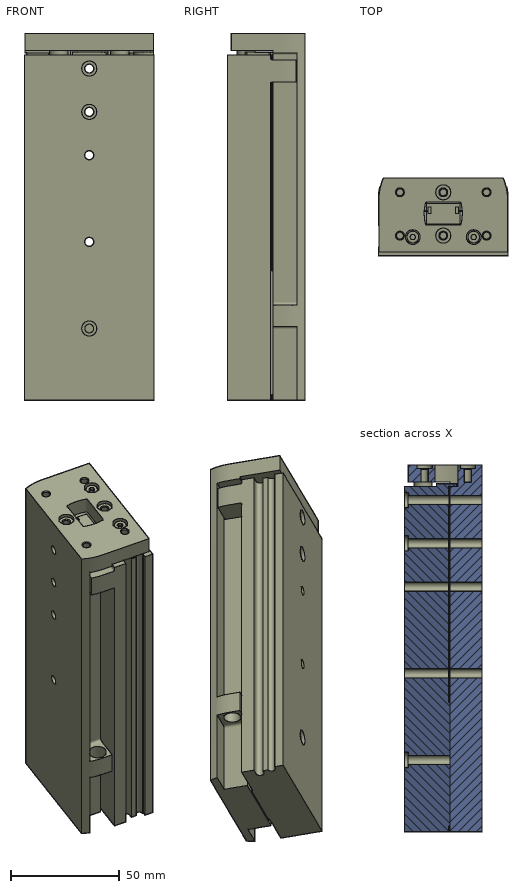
import cadquery as cq
import math

LENGTH = 169.5
WIDTH = 60.0
DEPTH = 36.0
HALF_WIDTH = WIDTH / 2

TABLE_HALF_WIDTH = 29.7
SIDE_ARC_START_Y = 26.3
SIDE_ARC_RADIUS = 24.5
PLATE_FRONT_Y = 32.2
SPINE_HALF_WIDTH = 18.3
SPINE_FRONT_Y = 21.0
FLANGE_FRONT_Y = 1.7
FLANGE_BOTTOM_Z = 161.5
FLANGE_STEP_BOTTOM_Z = 160.5
EAR_BOTTOM_Z = 34.0
EAR_TOP_Z = 44.0
EAR_FILLET = 1.2
EAR_HOLE_DIAMETER = 8.0
EAR_HOLE_X = 25.0
EAR_HOLE_Y = 26.1

HOUSING_TOP_Z = 159.5
HOUSING_BACK_Y = 20.0
ARM_BOTTOM_Z = 147.0
ARM_TOP_Z = 157.3
ARM_BACK_Y = 31.7
ARM_CLEARANCE = 0.2
ARM_FILLET = 0.8
LAND_INSET = 1.7
DEEP_GROOVE_Y = 12.2
DEEP_GROOVE_WIDTH = 3.7
DEEP_GROOVE_STRAIGHT = 3.4
FRONT_PLATE_DEPTH = 4.0
SHALLOW_GROOVE_Y = 6.1
SHALLOW_GROOVE_DIAMETER = 3.2
GUIDE_RAIL_HALF_WIDTH = 13.5
GUIDE_RAIL_HEIGHT = 0.5
CARRIAGE_BOTTOM_Z = 2.5
CARRIAGE_TOP_Z = 59.8
BUTTON_DIAMETER = 12.0
BUTTON_X = 26.5
BUTTON_Y = 14.2
PAD_TOP_Z = 160.9

WINDOW_Y = 19.5
WINDOW_HEIGHT = 10.5
WINDOW_CORNER_X = 8.1
WINDOW_BULGE_X = 8.8
WINDOW_CORNER_RADIUS = 0.7
PAD_WIDTH = 15.3
PAD_HEIGHT = 9.5
PAD_NOTCH_X = 6.3
PAD_NOTCH_Y = 21.0
PAD_NOTCH_WIDTH = 1.4
PAD_NOTCH_HEIGHT = 3.0
PAD_NOTCH_DEPTH = 0.7

PITCH = 20.0
HOLE_DIAMETER = 4.0
COUNTERBORE_DIAMETER = 7.0
COUNTERBORE_DEPTH = 1.7
TOP_HOLE_FRONT_Y = 9.3
TOP_HOLE_BACK_Y = TOP_HOLE_FRONT_Y + PITCH
TAPPED_HOLE_DIAMETER = 3.2
HIGHEST_FRONT_HOLE_Z = 153.2

BUMPER_X = 14.0
BUMPER_Y = 8.6
BUMPER_DIAMETER = 8.5
BUMPER_RECESS_DIAMETER = 6.8
BUMPER_RECESS_DEPTH = 2.5
SCREW_HEAD_DIAMETER = 5.5
SCREW_HEAD_DROP = 1.0
SOCKET_WIDTH = 2.7
SOCKET_DEPTH = 1.5

SIDES = (-1, 1)


def box(x_min, x_max, y_min, y_max, z_min, z_max):
    """Axis-aligned block between the given limits."""
    size = (x_max - x_min, y_max - y_min, z_max - z_min)
    return cq.Workplane("XY").box(*size, centered=False).translate((x_min, y_min, z_min))


def centred_box(half_width, y_min, y_max, z_min, z_max):
    """Block symmetric about X = 0."""
    return box(-half_width, half_width, y_min, y_max, z_min, z_max)


def upright_cylinder(diameter, x, y, z_min, z_max):
    """Cylinder with a vertical axis."""
    base = cq.Workplane("XY", origin=(x, y, z_min))
    return base.circle(diameter / 2).extrude(z_max - z_min)


def arc_inset(y):
    """How far the rounded side has moved inward at depth y."""
    rise = y - SIDE_ARC_START_Y
    return SIDE_ARC_RADIUS - math.sqrt(SIDE_ARC_RADIUS**2 - rise**2)


def round_sided(half_width, y_front, y_back, z_min, z_max):
    """Block whose sides curve inward toward the back, from SIDE_ARC_START_Y on."""
    y_mid = (SIDE_ARC_START_Y + y_back) / 2
    x_mid = half_width - arc_inset(y_mid)
    x_back = half_width - arc_inset(y_back)
    return (
        cq.Workplane("XY", origin=(0, 0, z_min))
        .moveTo(-half_width, y_front)
        .lineTo(half_width, y_front)
        .lineTo(half_width, SIDE_ARC_START_Y)
        .threePointArc((x_mid, y_mid), (x_back, y_back))
        .lineTo(-x_back, y_back)
        .threePointArc((-x_mid, y_mid), (-half_width, SIDE_ARC_START_Y))
        .close()
        .extrude(z_max - z_min)
    )


def tapped_hole(x, y, mouth_z):
    """Cutter for a vertical hole down to the flange underside, with a 45 degree chamfer at its mouth."""
    bore = upright_cylinder(TAPPED_HOLE_DIAMETER, x, y, FLANGE_BOTTOM_Z, mouth_z)
    chamfer_depth = (HOLE_DIAMETER - TAPPED_HOLE_DIAMETER) / 2
    mouth = (
        cq.Workplane("XY", origin=(x, y, mouth_z))
        .circle(HOLE_DIAMETER / 2)
        .workplane(offset=-chamfer_depth)
        .circle(TAPPED_HOLE_DIAMETER / 2)
        .loft()
    )
    return bore.union(mouth)


def front_hole(diameter, z, y_start, y_end):
    """Cylindrical cutter along Y on the centre line."""
    base = cq.Workplane("XZ", origin=(0, y_start, z))
    return base.circle(diameter / 2).extrude(y_start - y_end)


def side_pocket(side, z_min, z_max, filleted_edges):
    """Cutter for the open space beside the spine, rounded where it meets the ears or flange."""
    inner = side * SPINE_HALF_WIDTH
    outer = side * WIDTH
    pocket = box(min(inner, outer), max(inner, outer), 0, PLATE_FRONT_Y, z_min, z_max)
    toward_spine = "<X" if side > 0 else ">X"
    return pocket.faces(toward_spine).edges(filleted_edges).fillet(EAR_FILLET)


def rod_window():
    """Cutter for the flange window, a rectangle with bowed short sides."""
    y_low = WINDOW_Y - WINDOW_HEIGHT / 2
    y_high = WINDOW_Y + WINDOW_HEIGHT / 2
    return (
        cq.Workplane("XY", origin=(0, 0, HOUSING_TOP_Z))
        .moveTo(-WINDOW_CORNER_X, y_low)
        .lineTo(WINDOW_CORNER_X, y_low)
        .threePointArc((WINDOW_BULGE_X, WINDOW_Y), (WINDOW_CORNER_X, y_high))
        .lineTo(-WINDOW_CORNER_X, y_high)
        .threePointArc((-WINDOW_BULGE_X, WINDOW_Y), (-WINDOW_CORNER_X, y_low))
        .close()
        .extrude(LENGTH - HOUSING_TOP_Z)
        .edges("|Z")
        .fillet(WINDOW_CORNER_RADIUS)
    )


def add_bumper(table, x):
    """Bumper under the flange, with its screw head sunk into the flange top."""
    recess_floor = LENGTH - BUMPER_RECESS_DEPTH
    head_top = LENGTH - SCREW_HEAD_DROP
    bumper = upright_cylinder(BUMPER_DIAMETER, x, BUMPER_Y, HOUSING_TOP_Z, FLANGE_BOTTOM_Z)
    recess = upright_cylinder(BUMPER_RECESS_DIAMETER, x, BUMPER_Y, recess_floor, LENGTH)
    head = upright_cylinder(SCREW_HEAD_DIAMETER, x, BUMPER_Y, recess_floor, head_top)
    socket = (
        cq.Workplane("XY", origin=(x, BUMPER_Y, head_top - SOCKET_DEPTH))
        .polygon(6, SOCKET_WIDTH)
        .extrude(SOCKET_DEPTH)
    )
    return table.union(bumper).cut(recess).union(head).cut(socket)


def make_table():
    table = round_sided(TABLE_HALF_WIDTH, FLANGE_FRONT_Y, DEPTH, 0, LENGTH)
    table = table.cut(centred_box(WIDTH, 0, SPINE_FRONT_Y, 0, FLANGE_BOTTOM_Z))

    for side in SIDES:
        table = table.cut(side_pocket(side, 0, EAR_BOTTOM_Z, ">Z"))
        table = table.cut(side_pocket(side, EAR_TOP_Z, FLANGE_STEP_BOTTOM_Z, "|Y"))
        ear_hole_x = side * EAR_HOLE_X
        table = table.cut(
            upright_cylinder(EAR_HOLE_DIAMETER, ear_hole_x, EAR_HOLE_Y, EAR_BOTTOM_Z, EAR_TOP_Z)
        )

    table = table.cut(rod_window())
    counterbore_floor = LENGTH - COUNTERBORE_DEPTH
    for y in (TOP_HOLE_FRONT_Y, TOP_HOLE_BACK_Y):
        for side in SIDES:
            table = table.cut(tapped_hole(side * PITCH, y, LENGTH))
        table = table.cut(tapped_hole(0, y, counterbore_floor))
        table = table.cut(upright_cylinder(COUNTERBORE_DIAMETER, 0, y, counterbore_floor, LENGTH))

    for side in SIDES:
        table = add_bumper(table, side * BUMPER_X)

    for steps_down in (0, 1, 2, 4):
        z = HIGHEST_FRONT_HOLE_Z - steps_down * PITCH
        table = table.cut(front_hole(HOLE_DIAMETER, z, SPINE_FRONT_Y, DEPTH))
    return table


def side_grooves():
    """Cutter for the full-height grooves along the -X side."""
    land_x = -HALF_WIDTH + LAND_INSET
    deep_front_y = DEEP_GROOVE_Y - DEEP_GROOVE_WIDTH / 2
    deep_back_y = DEEP_GROOVE_Y + DEEP_GROOVE_WIDTH / 2
    relief = box(-HALF_WIDTH, land_x, FRONT_PLATE_DEPTH, deep_back_y, 0, HOUSING_TOP_Z)
    deep_end_x = -HALF_WIDTH + DEEP_GROOVE_STRAIGHT
    deep_slot = box(-HALF_WIDTH, deep_end_x, deep_front_y, deep_back_y, 0, HOUSING_TOP_Z)
    deep_end = upright_cylinder(DEEP_GROOVE_WIDTH, deep_end_x, DEEP_GROOVE_Y, 0, HOUSING_TOP_Z)
    shallow = upright_cylinder(SHALLOW_GROOVE_DIAMETER, land_x, SHALLOW_GROOVE_Y, 0, HOUSING_TOP_Z)
    return relief.union(deep_slot).union(deep_end).union(shallow)


def coupling_pad():
    """Rectangular pad on the housing top, notched on both short sides."""
    half_height = PAD_HEIGHT / 2
    y_min = WINDOW_Y - half_height
    y_max = WINDOW_Y + half_height
    pad = centred_box(PAD_WIDTH / 2, y_min, y_max, HOUSING_TOP_Z, PAD_TOP_Z)
    for side in SIDES:
        notch = cq.Workplane("XY").box(PAD_NOTCH_WIDTH, PAD_NOTCH_HEIGHT, 2 * PAD_NOTCH_DEPTH)
        pad = pad.cut(notch.translate((side * PAD_NOTCH_X, PAD_NOTCH_Y, PAD_TOP_Z)))
    return pad


def make_housing():
    housing = centred_box(HALF_WIDTH, 0, HOUSING_BACK_Y, 0, HOUSING_TOP_Z)
    housing = housing.cut(side_grooves())

    arms = round_sided(HALF_WIDTH, HOUSING_BACK_Y, ARM_BACK_Y, ARM_BOTTOM_Z, ARM_TOP_Z)
    spine_gap = SPINE_HALF_WIDTH + ARM_CLEARANCE
    arms = arms.cut(centred_box(spine_gap, HOUSING_BACK_Y, DEPTH, ARM_BOTTOM_Z, ARM_TOP_Z))
    housing = housing.union(arms)
    for z in (ARM_BOTTOM_Z, ARM_TOP_Z):
        root = cq.selectors.BoxSelector(
            (-WIDTH, HOUSING_BACK_Y - ARM_FILLET, z - ARM_FILLET),
            (WIDTH, HOUSING_BACK_Y + ARM_FILLET, z + ARM_FILLET),
            boundingbox=True,
        )
        housing = housing.edges(root).edges("|X").fillet(ARM_FILLET)

    rail_y = HOUSING_BACK_Y + GUIDE_RAIL_HEIGHT
    rail = centred_box(GUIDE_RAIL_HALF_WIDTH, HOUSING_BACK_Y, rail_y, 0, HOUSING_TOP_Z)
    carriage = centred_box(
        GUIDE_RAIL_HALF_WIDTH, HOUSING_BACK_Y, SPINE_FRONT_Y, CARRIAGE_BOTTOM_Z, CARRIAGE_TOP_Z
    )
    housing = housing.union(rail).union(carriage)

    button = upright_cylinder(BUTTON_DIAMETER, BUTTON_X, BUTTON_Y, HOUSING_TOP_Z, PAD_TOP_Z)
    button = button.intersect(
        centred_box(TABLE_HALF_WIDTH, 0, HOUSING_BACK_Y, HOUSING_TOP_Z, PAD_TOP_Z)
    )
    housing = housing.union(coupling_pad()).union(button)

    for steps_down in (0, 1, 2, 4, 6):
        z = HIGHEST_FRONT_HOLE_Z - steps_down * PITCH
        housing = housing.cut(front_hole(HOLE_DIAMETER, z, 0, SPINE_FRONT_Y))
    for steps_down in (0, 1, 6):
        z = HIGHEST_FRONT_HOLE_Z - steps_down * PITCH
        housing = housing.cut(front_hole(COUNTERBORE_DIAMETER, z, 0, COUNTERBORE_DEPTH))
    return housing


table = make_table()
housing = make_housing()

result = cq.Compound.makeCompound([table.solids().val(), housing.solids().val()])